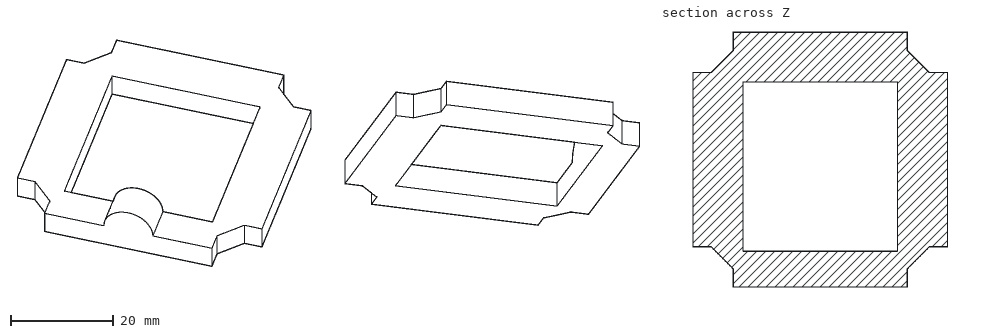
import cadquery as cq

side = 49.8
total_height = 10.0
thickness = 5.05

notch_setback = 7.85
step_depth = 3.6

window_width = 30.15
window_length = 33.0
front_wall = 7.0

bump_radius = total_height / 2
bump_axis_height = bump_radius

half_side = side / 2
half_tab = half_side - notch_setback
step_end = half_side - step_depth


def make_plate():
    """Square plate, centred in X and Y, with all four corners notched."""
    plate = cq.Workplane("XY").rect(side, side).extrude(thickness)
    for x_sign in (-1, 1):
        for y_sign in (-1, 1):
            notch_outline = [
                (half_tab, half_side),
                (half_tab, step_end),
                (step_end, half_tab),
                (half_side, half_tab),
                (half_side, half_side),
            ]
            points = [(x_sign * x, y_sign * y) for x, y in notch_outline]
            notch = cq.Workplane("XY").polyline(points).close().extrude(thickness)
            plate = plate.cut(notch)
    return plate


def make_window():
    """Cutter for the rectangular opening through the plate."""
    center_y = -half_side + front_wall + window_length / 2
    return (
        cq.Workplane("XY")
        .center(0, center_y)
        .rect(window_width, window_length)
        .extrude(thickness)
    )


def make_bump():
    """Cylinder along Y, as long as the front wall is wide."""
    return (
        cq.Workplane("XZ", origin=(0, -half_side, bump_axis_height))
        .circle(bump_radius)
        .extrude(-front_wall)
    )


result = make_plate().cut(make_window()).union(make_bump())